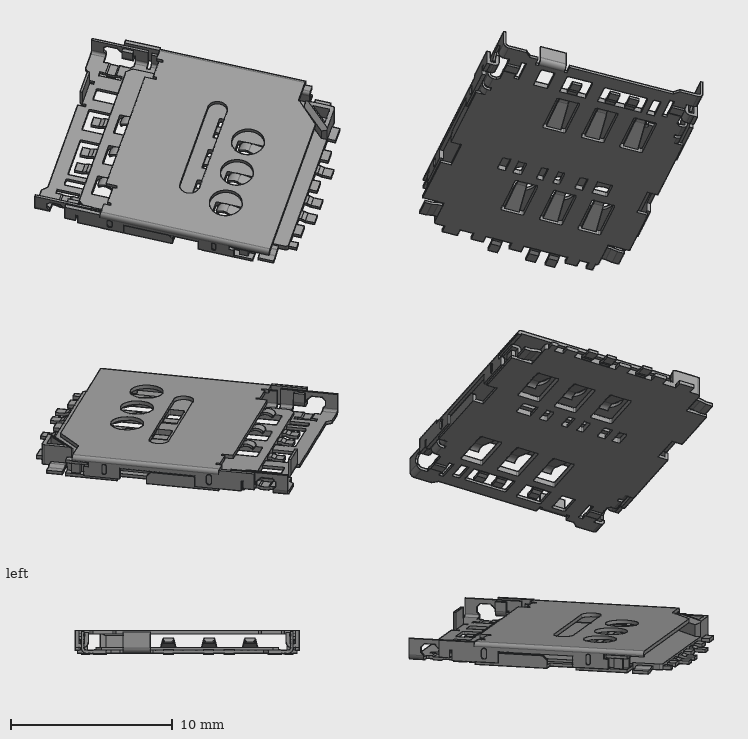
import cadquery as cq

length = 16.96
width = 13.85
height = 1.5

cover_thickness = 0.24
cover_bend = 0.25
frame_thickness = 0.15
lead_thickness = 0.2
lead_rise = 0.1
floor_bottom = 0.07
floor_top = floor_bottom + lead_thickness
tray_top = 0.44
cover_half = width / 2
frame_half = 6.55
floor_half = 6.8
wall_root = 6.04
frame_wall_top = 1.42
mouth_wall_right = 3.63

cover_left = 3.99
cover_corner_left = 4.29
cover_inner_left = 4.48
cover_right = 15.16
cover_back_right = 13.64
cover_chamfer_top = 5.25
cover_chamfer_bottom = 3.65
side_left = 2.04
hook_right = 2.73
hook_bottom = 0.42
hook_inner = 6.1
hook_top = 1.35
side_slit = 0.14
side_slit_top = 0.92
side_window = (5.82, 10.62)
side_window_top = 0.97
side_tab_right = 8.92
side_full_right = 12.58
side_low_right = 12.89
side_low_top = 0.88
side_short_bottom = 1.15

tray_left = 2.51
tray_right = 15.95
tray_front_half = 5.65
tray_back_half = 5.4
tray_step = 14.08
front_corner = 0.34
rear_corner = 0.17
rail_left = 0.32

pitch = 2.53
contact_rows = [1.17 - pitch * i for i in range(3)]
column_spacing = 7.62
contact_columns = (3.35, 3.35 + column_spacing)
contact_width = 0.63
contact_root_width = 0.97
contact_top = 1.02
window_width = 1.5
window_length = 2.71
window_lead = 0.27
window_corner = 0.1
lead_rows = (1.17, -1.32, -2.6)

overlap = 0.02


def box(x0, x1, y0, y1, z0, z1):
    return cq.Workplane("XY").box(x1 - x0, y1 - y0, z1 - z0, centered=False).translate((x0, y0, z0))


def plate(points, z0, z1):
    return cq.Workplane("XY").workplane(offset=z0).polyline(points).close().extrude(z1 - z0)


def along_x(points, x0, x1):
    """Prism along X with a (Y, Z) section."""
    return cq.Workplane("YZ").workplane(offset=x0).polyline(points).close().extrude(x1 - x0)


def along_y(points, y0, y1):
    """Prism along Y with an (X, Z) section."""
    return cq.Workplane("XZ").workplane(offset=-y1).polyline(points).close().extrude(y1 - y0)


def both_sides(body):
    return body.union(body.mirror("XZ"))


def cover_wall(right):
    """Side wall at +Y, with an open window, a slit and two dimples."""
    inner = cover_half - cover_thickness
    wall = box(side_left, right, inner, cover_half, floor_top - overlap, height)
    wall = wall.cut(box(side_left, hook_right, 0, cover_half, 0, hook_bottom))
    wall = wall.cut(box(hook_right, hook_right + side_slit, 0, cover_half, 0, side_slit_top))
    wall = wall.cut(box(*side_window, 0, cover_half, 0, side_window_top))
    wall = wall.cut(box(side_full_right, length, 0, cover_half, side_low_top, side_short_bottom))
    wall = wall.cut(box(side_low_right, length, 0, cover_half, 0, side_low_top))
    dimple_depth = 0.08
    dimple_z = 0.8
    dimple_length = 0.68
    for dimple_x, dimple_width in ((4.92, 0.34), (11.6, 0.27)):
        dimple = (cq.Workplane("XZ").workplane(offset=-cover_half).center(dimple_x, dimple_z)
                  .slot2D(dimple_length, dimple_width, 90).extrude(dimple_depth))
        wall = wall.cut(dimple)
    return wall


def cover_hook():
    """U-shaped hook that runs from the +Y side wall inward and up."""
    bend = 0.34
    outer = box(side_left, hook_right, hook_inner, cover_half, hook_bottom, hook_top)
    outer = outer.edges("|X and <Z").fillet(bend)
    inner = box(side_left, hook_right, hook_inner + cover_thickness, cover_half - cover_thickness,
                hook_bottom + cover_thickness, hook_top)
    return outer.cut(inner.edges("|X and <Z").fillet(bend - cover_thickness))


def build_cover():
    step_y = 4.41
    corner_step = 5.99
    bottom = height - cover_thickness
    top = plate([
        (cover_left, -step_y), (cover_inner_left, -step_y),
        (cover_inner_left, -corner_step), (cover_corner_left, -corner_step),
        (cover_corner_left, -cover_half), (cover_right, -cover_half),
        (cover_right, cover_chamfer_bottom), (cover_back_right, cover_chamfer_top),
        (cover_back_right, cover_half), (cover_corner_left, cover_half),
        (cover_corner_left, corner_step), (cover_inner_left, corner_step),
        (cover_inner_left, step_y), (cover_left, step_y),
    ], bottom, height)
    relief_end = 4.71
    relief_width = 0.19
    for relief_y in (step_y + relief_width / 2, corner_step - 0.07):
        relief = box(cover_left, relief_end, relief_y - relief_width / 2, relief_y + relief_width / 2,
                     bottom, height)
        top = top.cut(both_sides(relief.edges("|Z and >X").fillet(relief_width / 2 - 0.008)))

    slot_x, slot_length, slot_width = 9.0, 7.55, 1.24
    top = top.cut(cq.Workplane("XY").workplane(offset=bottom).center(slot_x, 0)
                  .slot2D(slot_length, slot_width, 90).extrude(cover_thickness))
    peephole_x, peephole_radius = 11.53, 1.02
    top = top.cut(cq.Workplane("XY").workplane(offset=bottom)
                  .pushPoints([(peephole_x, y) for y in contact_rows])
                  .circle(peephole_radius).extrude(cover_thickness))

    cover = top.union(cover_wall(cover_back_right)).union(cover_wall(cover_right).mirror("XZ"))

    corner = box(cover_corner_left, cover_right, cover_half - cover_bend, cover_half,
                 height - cover_bend, height)
    rod = (cq.Workplane("YZ").workplane(offset=cover_corner_left)
           .center(cover_half - cover_bend, height - cover_bend)
           .circle(cover_bend).extrude(cover_right - cover_corner_left))
    cover = cover.cut(both_sides(corner.cut(rod)))
    return cover.union(both_sides(cover_hook()))


def bent_wall(x0, x1, top):
    """Frame wall at +Y, bent up from the floor with a rounded corner."""
    bend = 0.32
    shell = box(x0, x1, wall_root, frame_half, floor_bottom, top)
    shell = shell.edges("|X and >Y and <Z").fillet(bend)
    room = box(x0, x1, wall_root - 0.17, frame_half - frame_thickness, floor_top, top)
    return shell.cut(room.edges("|X and >Y and <Z").fillet(bend - frame_thickness))


def frame_wall():
    """Side wall beside the card mouth with the hook opening, and the short wall behind it."""
    mouth_wall = bent_wall(0, mouth_wall_right, frame_wall_top)
    inner_wall_left, inner_wall_right = 3.85, 5.15
    inner_wall = bent_wall(inner_wall_left, inner_wall_right, height - cover_thickness)
    opening = along_y([(0.76, 0.6), (0.93, 0.4), (0.93, 0), (2.83, 0), (2.83, 0.76), (2.04, 0.76),
                       (1.65, 1.14), (0.98, 1.14), (0.76, 0.92)], 5.83, frame_half)
    return mouth_wall.cut(opening).union(inner_wall)


def frame_floor():
    ear_y = 5.04
    shoulder_y = 4.71
    wide_left = 4.32
    outline = [(rail_left, shoulder_y), (0, ear_y), (0, wall_root), (wide_left, wall_root),
               (wide_left, floor_half), (tray_step, floor_half)]
    mirrored = [(x, -y) for x, y in outline[::-1]]
    floor = plate(outline + mirrored, floor_bottom, floor_top)

    corner_opening = plate([(0.93, 5.82), (2.66, 5.82), (2.83, 6.0), (2.83, 6.1), (0.93, 6.1)], 0, floor_top)
    strap_slot = box(0.93, 2.35, 4.71, 5.02, 0, floor_top)
    floor = floor.cut(both_sides(corner_opening.union(strap_slot)))

    for x0, y0, y1 in ((1.1, 2.76, 3.68), (1.1, 0.27, 1.97), (1.24, -3.4, -0.53), (1.24, -4.25, -3.75)):
        floor = floor.cut(box(x0, tray_left, y0, y1, 0, floor_top).edges("|Z and <X").fillet(window_corner))

    room_inner = 6.1
    room_right = side_window[1] + 0.17
    floor = floor.cut(both_sides(box(side_tab_right, room_right, room_inner, floor_half, 0, floor_top)))
    return floor.cut(box(rail_left, 0.81, 2.1, 4.17, 0, floor_top))


def frame_stop(x0=0.42, y0=2.27, y1=3.97, bend=0.34, top=1.37):
    """Plate bent up from the floor at the card mouth."""
    shell = box(x0, x0 + bend + 0.17, y0, y1, floor_bottom, top)
    shell = shell.edges("|Y and <X and <Z").fillet(bend)
    room = box(x0 + frame_thickness, x0 + bend + 0.17, y0, y1, floor_top, top)
    return shell.cut(room)


def solder_strap():
    """Strap bridging the frame near its corner, pressed down to the solder plane."""
    x0, x1, y0, y1 = 1.1, 2.19, 5.0, 5.83
    slope = 0.1
    flat0, flat1 = x0 + 0.29, x1 - 0.29
    low_top = lead_thickness
    points = [(x0, floor_bottom), (flat0 - slope, floor_bottom), (flat0, 0), (flat1, 0),
              (flat1 + slope, floor_bottom), (x1, floor_bottom), (x1, floor_top),
              (flat1 + slope, floor_top), (flat1, low_top), (flat0, low_top),
              (flat0 - slope, floor_top), (x0, floor_top)]
    return box(x0, x1, y0, y1, 0, floor_top), along_y(points, y0, y1)


def side_spring():
    """Z-shaped bracket at the rear corner: upright web and outward flange."""
    x0, x1 = 12.72, tray_step
    inner, outer = 6.15, 6.78
    top = 1.14
    thickness = 0.2
    web = [(inner, floor_top - overlap), (inner + thickness, floor_top - overlap),
           (inner + thickness, top - thickness), (outer, top - thickness), (outer, top), (inner, top)]
    bracket = along_x(web, x0, x1)
    bracket = bracket.edges("|X and >Z and <Y").fillet(thickness)
    rear_panel = box(13.18, 13.74, inner, 6.65, floor_top - overlap, top - thickness)
    return bracket.union(rear_panel)


def side_tab():
    """Upright tab with a clipped corner that fills part of the +Y cover window."""
    x0, x1 = side_window[0], side_tab_right
    top = 0.85
    clip = 0.27
    return along_y([(x0, floor_bottom), (x1, floor_bottom), (x1, top - clip), (x1 - clip, top), (x0, top)],
                   floor_half - lead_thickness, floor_half)


def build_frame():
    frame = frame_floor().union(both_sides(frame_wall())).union(frame_stop())
    clearance, strap = solder_strap()
    frame = frame.cut(both_sides(clearance)).union(both_sides(strap))
    return frame.union(both_sides(side_spring())).union(both_sides(side_tab()))


def corner_post():
    """Clipped triangular post at the rear +Y corner with a pocket and a sloping inner edge."""
    post_top = 1.39
    slope_start = 1.15
    slope_width = 0.35
    side = 1.9
    diagonal = 2.25
    x1, y1 = tray_right, tray_back_half
    clip = diagonal - side
    outline = [(x1 - side, y1), (x1 - side, y1 - clip), (x1 - clip, y1 - side), (x1, y1 - side), (x1, y1)]
    post = plate(outline, floor_bottom, post_top)
    post = post.edges("|Z and >(1,1,0)").fillet(rear_corner)
    wedge = (cq.Workplane(cq.Plane((x1 - diagonal, y1, 0), (1, 1, 0), (1, -1, 0)))
             .polyline([(-overlap, slope_start), (slope_width, post_top), (slope_width, post_top + overlap),
                        (-overlap, post_top + overlap)]).close()
             .extrude(2 * diagonal, both=True))
    pocket_leg = 1.09
    pocket_wall = 0.27
    px, py = x1 - pocket_wall, y1 - pocket_wall
    pocket = plate([(px - pocket_leg, py), (px, py - pocket_leg), (px, py)], tray_top, post_top)
    return post.cut(wedge).cut(pocket)


def build_tray():
    tray = box(tray_left, tray_step, -tray_front_half, tray_front_half, floor_top - overlap, tray_top)
    tray = tray.edges("|Z and <X").chamfer(front_corner)
    rear = box(tray_step - overlap, tray_right, -tray_back_half, tray_back_half, floor_bottom, tray_top)
    rear = rear.edges("|Z and >X").fillet(rear_corner)
    return tray.union(rear).union(corner_post())


def floor_windows():
    """Openings through tray and frame under the contacts and under the cover slot."""
    openings = None
    slot_window_left, slot_window_right = 9.1, 10.13
    for y in contact_rows:
        for tip_x in contact_columns:
            x0 = tip_x - window_lead
            hole = box(x0, x0 + window_length, y - window_width / 2, y + window_width / 2, 0, tray_top)
            hole = hole.edges("|Z").fillet(window_corner)
            openings = hole if openings is None else openings.union(hole)
    slot_openings = ((-3.9, -1.76, -2.6, 0.63), (-0.76, 0.76, 0, 0.66), (1.75, 3.32, 2.55, 0.5))
    for y0, y1, strip_y, strip_width in slot_openings:
        hole = box(slot_window_left, slot_window_right, y0, y1, 0, tray_top).edges("|Z").fillet(window_corner)
        strip = box(slot_window_left, slot_window_right, strip_y - strip_width / 2, strip_y + strip_width / 2,
                    floor_bottom, floor_top)
        openings = openings.union(hole.cut(strip))
    return openings


def contact(tip_x, y):
    """Spring arm that rises toward the card mouth and ends in a rounded tip."""
    root_length = 0.17
    heel_x = tip_x + window_length - window_lead
    root_x = heel_x + root_length
    crest_x = tip_x + 0.51
    shoulder_x = tip_x + 0.7
    shoulder_z = contact_top - 0.03
    thickness = 0.15
    tip_z = 0.78
    tip_chamfer = 0.1
    taper_start = shoulder_x + 0.1
    taper_step = 0.03
    arm = (cq.Workplane("XZ").workplane(offset=-contact_root_width / 2)
           .moveTo(root_x, floor_top).lineTo(root_x, floor_top + thickness)
           .lineTo(heel_x, floor_top + thickness).lineTo(shoulder_x, shoulder_z)
           .threePointArc((crest_x, contact_top), (tip_x, tip_z))
           .lineTo(tip_x + tip_chamfer, tip_z - tip_chamfer)
           .threePointArc((crest_x, contact_top - thickness), (shoulder_x, shoulder_z - thickness))
           .lineTo(heel_x, floor_top).close().extrude(contact_root_width))
    nose, root = contact_width / 2, contact_root_width / 2
    outline = plate([(tip_x, -nose + tip_chamfer), (tip_x + tip_chamfer, -nose), (shoulder_x, -nose),
                     (taper_start, -nose - taper_step), (heel_x, -root), (root_x, -root),
                     (root_x, root), (heel_x, root), (taper_start, nose + taper_step),
                     (shoulder_x, nose), (tip_x + tip_chamfer, nose), (tip_x, nose - tip_chamfer)], 0, height)
    return arm.intersect(outline).translate((0, y, 0))


def joggled_lead(foot_x, knee0, knee1, root_x, y):
    """Terminal with its foot on the solder plane, stepping up to the tray."""
    root_top = lead_rise + lead_thickness
    points = [(foot_x, 0), (knee0, 0), (knee1, lead_rise), (root_x, lead_rise), (root_x, root_top),
              (knee1, root_top), (knee0, lead_thickness), (foot_x, lead_thickness)]
    return along_y(points, y - contact_width / 2, y + contact_width / 2)


def corner_solder_tab():
    """Solder tab reaching out of the rear +Y corner and stepping down."""
    x0, x1 = 14.35, 15.35
    step_root, step_foot = 5.68, 6.1
    root_y = tray_back_half - 0.17
    root_top = lead_rise + lead_thickness
    points = [(root_y, lead_rise), (step_root, lead_rise), (step_foot, 0), (frame_half, 0),
              (frame_half, lead_thickness), (step_foot, lead_thickness), (step_root, root_top),
              (root_y, root_top)]
    return along_x(points, x0, x1)


def build_terminals():
    terminals = both_sides(corner_solder_tab())
    for y in contact_rows:
        for tip_x in contact_columns:
            terminals = terminals.union(contact(tip_x, y))
    for y in lead_rows:
        terminals = terminals.union(joggled_lead(1.53, 2.04, 2.29, tray_left + 0.17, y))
        terminals = terminals.union(joggled_lead(length, 16.37, 16.11, tray_right - 0.17, y))
    tab_end = 16.45
    tab_top = 0.3
    for y0, y1 in ((3.66, 4.66), (1.97, 2.76), (-0.53, 0.27), (-4.19, -3.41), (-5.22, -4.8)):
        terminals = terminals.union(box(tray_right - 0.17, tab_end, y0, y1, floor_bottom, tab_top))
    return terminals


base = build_frame().union(build_tray()).cut(floor_windows())
result = base.union(build_terminals()).union(build_cover())